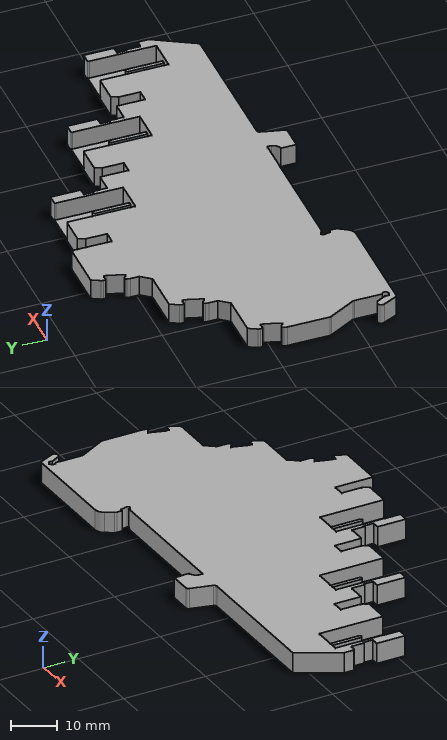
import cadquery as cq


LENGTH = 106.5
HEIGHT = 59.0
THICKNESS = 5.0
LEVELS = 3
LEVEL_RISE = 12.5

LEFT_RUN = 14.15
HOOK_TIP_X = 1.5
HOOK_THROAT_X = 2.9
HOOK_TOP_X = 2.65
HOOK_TOP_Y = HEIGHT - (LEVELS - 1) * LEVEL_RISE
HOOK_HEIGHT = 3.1
HOOK_LEDGE_Y = HOOK_TOP_Y - HOOK_HEIGHT
HOOK_TIP_RISE = 0.9
HOOK_TIP_RADIUS = 1.2
THROAT_LOW_X = 1.7
NUB_TOP_X = 0.5
THROAT_OPENING = 3.9
NUB_TOP_Y = HOOK_LEDGE_Y - THROAT_OPENING
NUB_SIDE_DROP = 1.15
NUB_SHOULDER_X = 0.15
NUB_SHOULDER_DROP = 0.35
NUB_BACK_X = 0.9
NUB_BACK_DROP = 0.2
THROAT_LOW_DROP = 0.7
THROAT_CORNER_DROP = 0.7
STEP_BEVEL_RUN = 1.8
STEP_BEVEL_RISE = 2.3

RIGHT_RUN = 22.3
ENTRY_TOP_Y = 31.25
SLOT_LEFT_X = 86.75
SLOT_WIDTH = 2.85
SLOT_DEPTH = 6.55
SLOT_BEVEL_RUN = 0.7
SLOT_BEVEL_DROP = 1.6
ENTRY_RIGHT_X = 106.3
ENTRY_RADIUS = 0.25
LIP_HEIGHT = 7.05
RECESS_X = 104.55
RECESS_STEP = 0.3
RECESS_STEP_DROP = 9.3
CORNER_BEVEL = 0.3
SIDE_LOW_Y = 16.2
UNDERSIDE_RIGHT_X = 101.1

POCKET_LEFT_X = 96.6
POCKET_WIDTH = 7.2
POCKET_LENGTH = 15.75
POCKET_DEPTH = 4.5
MOUTH_RADIUS = 0.3
RIB_WIDTH = 0.9
RIB_LENGTH = 8.7
RIB_HEIGHT = 3.0
RIB_OFFSET_X = 3.05

UNDERSIDE_Y = 6.5
CLAW_LEFT_X = 60.0
CLAW_NECK_X = 61.6
CLAW_BOTTOM_Y = 0.35
CLAW_SHOULDER_Y = 4.0
CLAW_NECK_Y = 5.6
CLAW_BOTTOM_RIGHT_X = 65.65
CLAW_TOP_RIGHT_X = 67.2
CLAW_SIDE_RADIUS = 0.6
CLAW_THROAT_X = 61.0
CLAW_THROAT_Y = 4.5

FOOT_RIGHT_X = 29.0
FOOT_SHOULDER_Y = 3.3
FOOT_CORNER_X = 27.0
FOOT_BOTTOM_RADIUS = 2.4
FOOT_SHOULDER_RADIUS = 1.0
FOOT_NOSE_Y = 4.9
RELIEF_LEFT_X = 28.0
RELIEF_TOP_Y = 7.1
RELIEF_LOW_X = 28.35

FLANK_LOW_Y = 15.9
BODY_LEFT_X = 3.6
BODY_SHOULDER_Y = 9.3
FLANK_RADIUS = 0.8
EYE_RIGHT_Y = 2.7
EYE_BOTTOM_X = 3.5
EYE_BOTTOM_Y = 1.25
EYE_LEFT_X = 2.75
EYE_LEFT_Y = 2.4
ARM_ROOT_X = 1.75
ARM_INNER_X = 1.65
ARM_INNER_Y = 4.4
ARM_TIP_X = 0.85
ARM_TIP_Y = 4.85
ARM_OUTER_X = 0.1
ARM_OUTER_Y = 3.6
ARM_ROOT_RADIUS = 0.8


def add_left_level(outline, level):
    """Trace one nub, throat and hook upwards, ending on the hook's top edge."""
    dx = level * LEFT_RUN
    dy = level * LEVEL_RISE
    ledge_y = HOOK_LEDGE_Y + dy
    outline = (
        outline.lineTo(dx, NUB_TOP_Y - NUB_SIDE_DROP + dy)
        .tangentArcPoint((NUB_SHOULDER_X + dx, NUB_TOP_Y - NUB_SHOULDER_DROP + dy), relative=False)
        .threePointArc((NUB_TOP_X + dx, NUB_TOP_Y + dy), (NUB_BACK_X + dx, NUB_TOP_Y - NUB_BACK_DROP + dy))
        .lineTo(THROAT_LOW_X + dx, NUB_TOP_Y - THROAT_LOW_DROP + dy)
        .lineTo(HOOK_THROAT_X + dx, ledge_y - THROAT_CORNER_DROP)
        .lineTo(HOOK_THROAT_X + dx, ledge_y)
        .lineTo(HOOK_TIP_X + dx, ledge_y)
        .lineTo(HOOK_TIP_X + dx, ledge_y + HOOK_TIP_RISE)
        .lineTo(HOOK_TOP_X + dx, HOOK_TOP_Y + dy)
    )
    if level < LEVELS - 1:
        next_x = dx + LEFT_RUN
        outline = outline.lineTo(next_x - STEP_BEVEL_RUN, HOOK_TOP_Y + dy)
        outline = outline.lineTo(next_x, HOOK_TOP_Y + dy + STEP_BEVEL_RISE)
    return outline


def add_right_level(outline, level):
    """Trace one slot, entry top and lip downwards, ending at the foot of the recess."""
    dx = -level * RIGHT_RUN
    top_y = ENTRY_TOP_Y + level * LEVEL_RISE
    slot_right_x = SLOT_LEFT_X + SLOT_WIDTH + dx
    recess_x = RECESS_X + dx
    return (
        outline.lineTo(SLOT_LEFT_X + dx, top_y - SLOT_DEPTH)
        .lineTo(slot_right_x, top_y - SLOT_DEPTH)
        .lineTo(slot_right_x, top_y - SLOT_BEVEL_DROP)
        .lineTo(slot_right_x + SLOT_BEVEL_RUN, top_y)
        .lineTo(ENTRY_RIGHT_X + dx, top_y)
        .lineTo(ENTRY_RIGHT_X + dx, top_y - LIP_HEIGHT)
        .lineTo(recess_x, top_y - LIP_HEIGHT)
        .lineTo(recess_x, top_y - RECESS_STEP_DROP)
        .lineTo(recess_x + RECESS_STEP, top_y - RECESS_STEP_DROP)
        .lineTo(recess_x + RECESS_STEP, top_y - LEVEL_RISE)
    )


def make_plate():
    outline = cq.Workplane("XY").moveTo(0, FLANK_LOW_Y)
    for level in range(LEVELS):
        outline = add_left_level(outline, level)

    for level in reversed(range(LEVELS)):
        above_y = HEIGHT if level == LEVELS - 1 else ENTRY_TOP_Y + level * LEVEL_RISE
        outline = outline.lineTo(SLOT_LEFT_X - level * RIGHT_RUN, above_y)
        outline = add_right_level(outline, level)

    recess_foot_y = ENTRY_TOP_Y - LEVEL_RISE
    outline = (
        outline.lineTo(LENGTH - CORNER_BEVEL, recess_foot_y)
        .lineTo(LENGTH, recess_foot_y - CORNER_BEVEL)
        .lineTo(LENGTH, SIDE_LOW_Y)
        .lineTo(UNDERSIDE_RIGHT_X, UNDERSIDE_Y)
        .lineTo(CLAW_TOP_RIGHT_X, UNDERSIDE_Y)
        .lineTo(CLAW_BOTTOM_RIGHT_X, CLAW_BOTTOM_Y)
        .lineTo(CLAW_LEFT_X, CLAW_BOTTOM_Y)
        .lineTo(CLAW_LEFT_X, CLAW_SHOULDER_Y)
        .threePointArc((CLAW_THROAT_X, CLAW_THROAT_Y), (CLAW_NECK_X, CLAW_NECK_Y))
        .lineTo(CLAW_NECK_X, UNDERSIDE_Y)
    )

    outline = (
        outline.lineTo(FOOT_RIGHT_X, UNDERSIDE_Y)
        .threePointArc(((FOOT_RIGHT_X + RELIEF_LEFT_X) / 2, RELIEF_TOP_Y), (RELIEF_LEFT_X, UNDERSIDE_Y))
        .lineTo(RELIEF_LOW_X, FOOT_NOSE_Y)
        .lineTo(FOOT_RIGHT_X, FOOT_NOSE_Y)
        .lineTo(FOOT_RIGHT_X, FOOT_SHOULDER_Y)
        .lineTo(FOOT_CORNER_X, 0)
        .lineTo(ARM_ROOT_X, 0)
    )

    outline = (
        outline.lineTo(ARM_OUTER_X, ARM_OUTER_Y)
        .threePointArc((ARM_TIP_X, ARM_TIP_Y), (ARM_INNER_X, ARM_INNER_Y))
        .lineTo(EYE_LEFT_X, EYE_LEFT_Y)
        .threePointArc((EYE_BOTTOM_X, EYE_BOTTOM_Y), (BODY_LEFT_X, EYE_RIGHT_Y))
        .lineTo(BODY_LEFT_X, BODY_SHOULDER_Y)
        .close()
    )
    return outline.extrude(THICKNESS)


def make_pocket(level):
    """Cutter for one conductor pocket, open at the entry top and leaving a rib on its floor."""
    floor_z = THICKNESS - POCKET_DEPTH
    left_x = POCKET_LEFT_X - level * RIGHT_RUN
    end_y = ENTRY_TOP_Y + level * LEVEL_RISE - POCKET_LENGTH
    rib_x = left_x + RIB_OFFSET_X
    rib_straight = RIB_LENGTH - RIB_WIDTH / 2
    cutter = cq.Workplane("XY").box(POCKET_WIDTH, POCKET_LENGTH, POCKET_DEPTH, centered=False)
    cutter = cutter.translate((left_x, end_y, floor_z))
    rib = (
        cq.Workplane("XY", origin=(rib_x, end_y, floor_z))
        .moveTo(-RIB_WIDTH / 2, 0)
        .lineTo(RIB_WIDTH / 2, 0)
        .lineTo(RIB_WIDTH / 2, rib_straight)
        .threePointArc((0, RIB_LENGTH), (-RIB_WIDTH / 2, rib_straight))
        .close()
        .extrude(RIB_HEIGHT)
    )
    return cutter.cut(rib)


def round_edge(body, x, y, z, radius):
    """Fillet the upright edge whose midpoint is (x, y, z)."""
    return body.edges("|Z").edges(cq.NearestToPointSelector((x, y, z))).fillet(radius)


def round_plate_corners(body):
    corners = [
        (0, FLANK_LOW_Y, FLANK_RADIUS),
        (BODY_LEFT_X, BODY_SHOULDER_Y, FLANK_RADIUS),
        (ARM_ROOT_X, 0, ARM_ROOT_RADIUS),
        (FOOT_CORNER_X, 0, FOOT_BOTTOM_RADIUS),
        (FOOT_RIGHT_X, FOOT_SHOULDER_Y, FOOT_SHOULDER_RADIUS),
        (CLAW_BOTTOM_RIGHT_X, CLAW_BOTTOM_Y, CLAW_SIDE_RADIUS),
        (CLAW_TOP_RIGHT_X, UNDERSIDE_Y, CLAW_SIDE_RADIUS),
    ]
    for level in range(LEVELS):
        tip_y = HOOK_LEDGE_Y + HOOK_TIP_RISE + level * LEVEL_RISE
        corners.append((HOOK_TIP_X + level * LEFT_RUN, tip_y, HOOK_TIP_RADIUS))
        entry_top_y = ENTRY_TOP_Y + level * LEVEL_RISE
        corners.append((ENTRY_RIGHT_X - level * RIGHT_RUN, entry_top_y, ENTRY_RADIUS))
    for x, y, radius in corners:
        body = round_edge(body, x, y, THICKNESS / 2, radius)
    return body


def round_pocket_mouth(body, level):
    left_x = POCKET_LEFT_X - level * RIGHT_RUN
    top_y = ENTRY_TOP_Y + level * LEVEL_RISE
    wall_mid_z = THICKNESS - POCKET_DEPTH / 2
    for x in (left_x, left_x + POCKET_WIDTH):
        body = round_edge(body, x, top_y, wall_mid_z, MOUTH_RADIUS)
    return body


result = round_plate_corners(make_plate())
for pocket_level in range(LEVELS):
    result = result.cut(make_pocket(pocket_level))
    result = round_pocket_mouth(result, pocket_level)